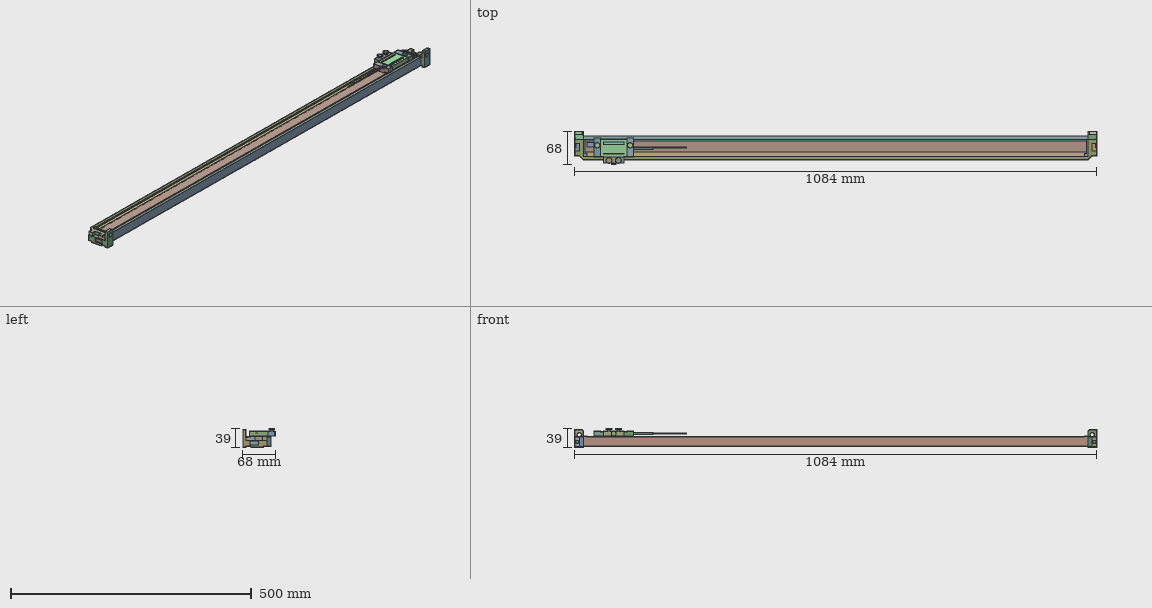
import cadquery as cq

OVERALL_LENGTH = 1084.0
OVERALL_DEPTH = 68.0

RAIL_HALF_WIDTH = 25.0
RAIL_TOP = 2.7
RAIL_BOTTOM = -17.0
WALL_THICKNESS = 7.0
LEDGE_DROP = 3.0
COVER_DROP = 1.0
COVER_REAR_GAP = 3.0
COVER_FRONT_Y = -8.1

CAP_LENGTH = 18.0
CAP_SHELF_Y = -16.0
CAP_SHELF_LENGTH = 10.0
FOOT_HEIGHT = 2.4
FOOT_REAR_Y = 17.0
FOOT_FRONT_Y = -9.0
LIP_LENGTH = 3.0
LIP_TOP = 4.0
STOP_LENGTH = 8.0
STOP_WIDTH = 7.0
NOTCH_LENGTH = 10.0
NOTCH_REAR_Y = 9.0
NOTCH_FRONT_Y = -7.0
NOTCH_DEPTH = 8.0
SETBACK = 1.0
REAR_STEP_DROP = 1.0

FLANGE_THICKNESS = 7.0
FLANGE_TOP = 17.0
FLANGE_BEVEL = 3.0
FLANGE_HOLE_DIAMETER = 9.0
FLANGE_HOLE_INSET = 10.0
FLANGE_HOLE_Z = 7.0

SOCKET_REAR_Y = 20.0
SOCKET_FRONT_Y = 1.0
SOCKET_TOP = -7.0
SOCKET_BOTTOM = -15.0
SOCKET_DEPTH = 3.0

PORT_DIAMETER = 7.0
PORT_DEPTH = 5.0
PORT_INSET = 5.0
PORT_Z = -8.1

CARRIAGE_X = -461.0
CARRIAGE_LENGTH = 82.0
CARRIAGE_REAR_Y = 21.0
CARRIAGE_FRONT_Y = -18.0
CARRIAGE_TOP = 14.0
CARRIAGE_BOTTOM = 3.8
TABLE_LENGTH = 54.0
TABLE_REAR_Y = 18.0
TABLE_DROP = 1.0
NECK_REAR_Y = 11.0
NECK_FRONT_Y = -5.0
TONGUE_LENGTH = 14.0
TONGUE_REAR_Y = 11.0
TONGUE_FRONT_Y = 2.0

SLOT_LENGTH = 42.0
SLOT_DEPTH = 2.0
REAR_SLOT_Y = 10.0
REAR_SLOT_WIDTH = 4.0
FRONT_SLOT_Y = -12.0
FRONT_SLOT_WIDTH = 1.6

SCREW_HOLE_DIAMETER = 11.0
SCREW_HOLE_DEPTH = 4.0
SCREW_HOLE_Y = 5.0

BRACKET_LENGTH = 43.0
BRACKET_FRONT_Y = -31.0
BARREL_DIAMETER = 10.0
KNOB_SPACING = 20.0
KNOB_Y = -26.0
KNOB_RISE = 5.6
KNOB_HEAD_DIAMETER = 12.0
KNOB_HEAD_HEIGHT = 2.0
KNOB_STEM_DIAMETER = 7.0

SLEEVE_LENGTH = 40.0
SLEEVE_DIAMETER = 4.0
SLEEVE_Y = -1.0
CABLE_LENGTH = 110.0
CABLE_DIAMETER = 2.0
CABLE_Y = 0.5
CABLE_Z = 9.2

HALF_LENGTH = OVERALL_LENGTH / 2
FLANGE_REAR_Y = OVERALL_DEPTH / 2
BARREL_FRONT_Y = -OVERALL_DEPTH / 2
CHANNEL_HALF_WIDTH = RAIL_HALF_WIDTH - WALL_THICKNESS
COVER_REAR_Y = CHANNEL_HALF_WIDTH - COVER_REAR_GAP
CAP_BOTTOM = RAIL_BOTTOM - FOOT_HEIGHT
RAIL_HALF_LENGTH = HALF_LENGTH - CAP_LENGTH
FLANGE_FRONT_Y = FLANGE_REAR_Y - FLANGE_THICKNESS
LEDGE_Z = RAIL_TOP - LEDGE_DROP
COVER_Z = RAIL_TOP - COVER_DROP
CARRIAGE_LEFT = CARRIAGE_X - CARRIAGE_LENGTH / 2
CARRIAGE_RIGHT = CARRIAGE_X + CARRIAGE_LENGTH / 2
TABLE_TOP = CARRIAGE_TOP - TABLE_DROP


def block(x_range, y_range, z_range):
    """Plain box given by its (low, high) limits along each axis."""
    limits = (x_range, y_range, z_range)
    sizes = [high - low for low, high in limits]
    corner = tuple(low for low, high in limits)
    return cq.Workplane("XY").box(*sizes, centered=False).translate(corner)


def rod(plane, centre, diameter, length):
    """Cylinder starting at centre and running along the normal of the plane."""
    return cq.Workplane(plane, origin=centre).circle(diameter / 2).extrude(length)


def make_rail():
    """Rail with side walls and a cover strip that rises from the channel between them."""
    profile = [
        (-RAIL_HALF_WIDTH, RAIL_BOTTOM),
        (-RAIL_HALF_WIDTH, RAIL_TOP),
        (-CHANNEL_HALF_WIDTH, RAIL_TOP),
        (-CHANNEL_HALF_WIDTH, LEDGE_Z),
        (COVER_FRONT_Y, LEDGE_Z),
        (COVER_FRONT_Y, COVER_Z),
        (COVER_REAR_Y, COVER_Z),
        (COVER_REAR_Y, LEDGE_Z),
        (CHANNEL_HALF_WIDTH, LEDGE_Z),
        (CHANNEL_HALF_WIDTH, RAIL_TOP),
        (RAIL_HALF_WIDTH, RAIL_TOP),
        (RAIL_HALF_WIDTH, RAIL_BOTTOM),
    ]
    return cq.Workplane("YZ").polyline(profile).close().extrude(RAIL_HALF_LENGTH, both=True)


def make_cap_body():
    """Cap with a stepped and slanted outer front corner, a foot below, and a lip
    and stop over the channel of the rail.
    """
    outer_x = -HALF_LENGTH
    inner_x = -RAIL_HALF_LENGTH
    outline = [
        (outer_x, FLANGE_REAR_Y),
        (outer_x, CAP_SHELF_Y),
        (outer_x + CAP_SHELF_LENGTH, CAP_SHELF_Y),
        (inner_x, -RAIL_HALF_WIDTH),
        (inner_x, FLANGE_REAR_Y),
    ]
    height = RAIL_TOP - RAIL_BOTTOM
    body = cq.Workplane("XY", origin=(0, 0, RAIL_BOTTOM)).polyline(outline).close().extrude(height)
    foot = block((outer_x, inner_x), (FOOT_FRONT_Y, FOOT_REAR_Y), (CAP_BOTTOM, RAIL_BOTTOM))
    lip = block(
        (inner_x, inner_x + LIP_LENGTH), (-CHANNEL_HALF_WIDTH, CHANNEL_HALF_WIDTH), (LEDGE_Z, LIP_TOP)
    )
    stop = block(
        (inner_x, inner_x + STOP_LENGTH),
        (-CHANNEL_HALF_WIDTH, STOP_WIDTH - CHANNEL_HALF_WIDTH),
        (LEDGE_Z, LIP_TOP),
    )
    return body.union(foot).union(lip).union(stop)


def make_flange():
    """Upright plate with a bevelled inner top corner and a mounting hole."""
    flange = block(
        (-HALF_LENGTH, -RAIL_HALF_LENGTH), (FLANGE_FRONT_Y, FLANGE_REAR_Y), (CAP_BOTTOM, FLANGE_TOP)
    )
    flange = flange.edges("|Y and >X and >Z").chamfer(FLANGE_BEVEL)
    hole_centre = (FLANGE_HOLE_INSET - HALF_LENGTH, FLANGE_REAR_Y, FLANGE_HOLE_Z)
    return flange.cut(rod("XZ", hole_centre, FLANGE_HOLE_DIAMETER, FLANGE_THICKNESS))


def make_left_cap():
    """Complete left cap with its notch, steps, socket, port and mounting flange."""
    notch = block(
        (-HALF_LENGTH, NOTCH_LENGTH - HALF_LENGTH),
        (NOTCH_FRONT_Y, NOTCH_REAR_Y),
        (RAIL_TOP - NOTCH_DEPTH, RAIL_TOP),
    )
    setback = block(
        (-HALF_LENGTH, SETBACK - HALF_LENGTH),
        (CAP_SHELF_Y, FLANGE_FRONT_Y),
        (RAIL_TOP - NOTCH_DEPTH, RAIL_TOP),
    )
    rear_step = block(
        (-HALF_LENGTH, -RAIL_HALF_LENGTH),
        (CHANNEL_HALF_WIDTH, FLANGE_FRONT_Y),
        (RAIL_TOP - REAR_STEP_DROP, RAIL_TOP),
    )
    socket = block(
        (-HALF_LENGTH, SOCKET_DEPTH - HALF_LENGTH),
        (SOCKET_FRONT_Y, SOCKET_REAR_Y),
        (SOCKET_BOTTOM, SOCKET_TOP),
    )
    port_centre = (PORT_INSET - HALF_LENGTH, CAP_SHELF_Y + PORT_DEPTH, PORT_Z)
    port = rod("XZ", port_centre, PORT_DIAMETER, PORT_DEPTH)
    body = make_cap_body()
    for recess in (notch, setback, rear_step, socket, port):
        body = body.cut(recess)
    return body.union(make_flange())


def make_frame():
    """Rail joined with two mirrored end caps."""
    left_cap = make_left_cap()
    return make_rail().union(left_cap).union(left_cap.mirror("YZ"))


def make_table():
    """Table between two taller end blocks, carried by a neck and tongue on the cover strip."""
    table_range = (CARRIAGE_X - TABLE_LENGTH / 2, CARRIAGE_X + TABLE_LENGTH / 2)
    height_range = (CARRIAGE_BOTTOM, CARRIAGE_TOP)
    depth_range = (CARRIAGE_FRONT_Y, CARRIAGE_REAR_Y)
    table = block(table_range, (CARRIAGE_FRONT_Y, TABLE_REAR_Y), (CARRIAGE_BOTTOM, TABLE_TOP))
    table = table.union(block((CARRIAGE_LEFT, table_range[0]), depth_range, height_range))
    table = table.union(block((table_range[1], CARRIAGE_RIGHT), depth_range, height_range))
    neck = block(
        (CARRIAGE_LEFT, CARRIAGE_RIGHT), (NECK_FRONT_Y, NECK_REAR_Y), (COVER_Z, CARRIAGE_BOTTOM)
    )
    tongue = block(
        (CARRIAGE_LEFT - TONGUE_LENGTH, CARRIAGE_LEFT), (TONGUE_FRONT_Y, TONGUE_REAR_Y), (COVER_Z, RAIL_TOP)
    )
    return table.union(neck).union(tongue)


def make_table_slots():
    """Two shallow grooves along the table."""
    slots = cq.Workplane("XY")
    for y, width in ((REAR_SLOT_Y, REAR_SLOT_WIDTH), (FRONT_SLOT_Y, FRONT_SLOT_WIDTH)):
        slot = block(
            (CARRIAGE_X - SLOT_LENGTH / 2, CARRIAGE_X + SLOT_LENGTH / 2),
            (y - width / 2, y + width / 2),
            (TABLE_TOP - SLOT_DEPTH, TABLE_TOP),
        )
        slots = slots.add(slot)
    return slots.combine()


def make_screw_holes():
    """Round recess in the top of each end block."""
    offset = (CARRIAGE_LENGTH + TABLE_LENGTH) / 4
    centre = (CARRIAGE_X, SCREW_HOLE_Y, CARRIAGE_TOP - SCREW_HOLE_DEPTH)
    holes = cq.Workplane("XY", origin=centre).pushPoints([(-offset, 0), (offset, 0)])
    return holes.circle(SCREW_HOLE_DIAMETER / 2).extrude(SCREW_HOLE_DEPTH)


def make_knob(x):
    """Flat-headed knob standing on the bracket."""
    stem_height = KNOB_RISE - KNOB_HEAD_HEIGHT
    stem = rod("XY", (x, KNOB_Y, CARRIAGE_TOP), KNOB_STEM_DIAMETER, stem_height)
    head_centre = (x, KNOB_Y, CARRIAGE_TOP + stem_height)
    return stem.union(rod("XY", head_centre, KNOB_HEAD_DIAMETER, KNOB_HEAD_HEIGHT))


def make_coupling():
    """Bracket with two knobs on top and a barrel through its front."""
    coupling = block(
        (CARRIAGE_X - BRACKET_LENGTH / 2, CARRIAGE_X + BRACKET_LENGTH / 2),
        (BRACKET_FRONT_Y, CARRIAGE_FRONT_Y),
        (CARRIAGE_BOTTOM, CARRIAGE_TOP),
    )
    barrel_z = (CARRIAGE_BOTTOM + CARRIAGE_TOP) / 2
    barrel_length = CARRIAGE_FRONT_Y - BARREL_FRONT_Y
    coupling = coupling.union(
        rod("XZ", (CARRIAGE_X, CARRIAGE_FRONT_Y, barrel_z), BARREL_DIAMETER, barrel_length)
    )
    for side in (-1, 1):
        coupling = coupling.union(make_knob(CARRIAGE_X + side * KNOB_SPACING / 2))
    return coupling


def make_cable():
    """Straight cable and its sleeve, leaving the right end of the carriage."""
    sleeve = rod("YZ", (CARRIAGE_RIGHT, SLEEVE_Y, CABLE_Z), SLEEVE_DIAMETER, SLEEVE_LENGTH)
    cable = rod("YZ", (CARRIAGE_RIGHT, CABLE_Y, CABLE_Z), CABLE_DIAMETER, CABLE_LENGTH)
    return sleeve.union(cable)


def make_carriage():
    """Table with its recesses, coupling and cable."""
    table = make_table().cut(make_table_slots()).cut(make_screw_holes())
    return table.union(make_coupling()).union(make_cable())


frame = make_frame()
carriage = make_carriage()
result = cq.Compound.makeCompound([frame.solids().val(), carriage.solids().val()])